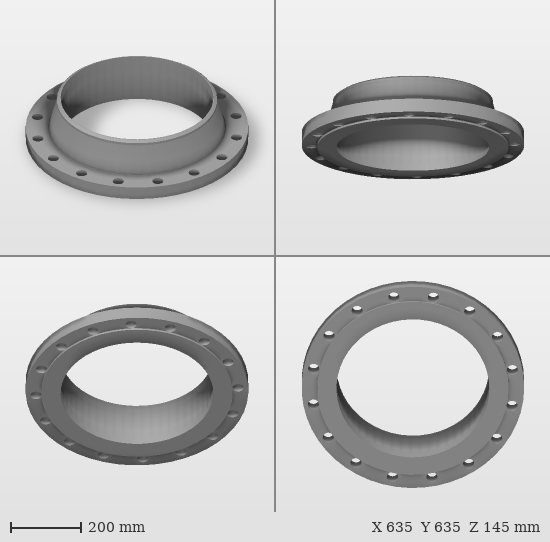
import cadquery as cq
import math

flange_diameter = 635.0
flange_thickness = 39.0
raised_face_diameter = 546.0
raised_face_height = 6.5

overall_height = 145.0
bore_diameter = 435.5
neck_diameter = 457.0
hub_base_diameter = 506.5
neck_length = 14.0
hub_flare_sagitta = 1.0
hub_root_fillet = 2.0

bevel_height = 6.5
root_face_width = 2.0

bolt_count = 16
bolt_circle_diameter = 578.0
bolt_hole_diameter = 32.0

flange_bottom = raised_face_height
flange_top = flange_bottom + flange_thickness
neck_bottom = overall_height - neck_length
bevel_bottom = overall_height - bevel_height

bore_radius = bore_diameter / 2
neck_radius = neck_diameter / 2
hub_base_radius = hub_base_diameter / 2
flange_radius = flange_diameter / 2
raised_face_radius = raised_face_diameter / 2
bevel_top_radius = bore_radius + root_face_width


def flare_middle():
    """Middle point of the hub flare, pulled inward from the straight chord."""
    run = hub_base_radius - neck_radius
    rise = neck_bottom - flange_top
    chord = math.hypot(run, rise)
    middle_radius = (hub_base_radius + neck_radius) / 2 - hub_flare_sagitta * rise / chord
    middle_height = (flange_top + neck_bottom) / 2 - hub_flare_sagitta * run / chord
    return middle_radius, middle_height


def flange_body():
    """Flange, hub, neck and raised face revolved about Z."""
    section = (
        cq.Workplane("XZ")
        .moveTo(bore_radius, 0)
        .lineTo(raised_face_radius, 0)
        .lineTo(raised_face_radius, flange_bottom)
        .lineTo(flange_radius, flange_bottom)
        .lineTo(flange_radius, flange_top)
        .lineTo(hub_base_radius, flange_top)
        .threePointArc(flare_middle(), (neck_radius, neck_bottom))
        .lineTo(neck_radius, bevel_bottom)
        .lineTo(bevel_top_radius, overall_height)
        .lineTo(bore_radius, overall_height)
        .close()
    )
    return section.revolve(360, (0, 0, 0), (0, 1, 0))


def round_hub_root(body):
    """Small fillet where the hub flare meets the flange top."""
    reach = hub_base_radius + hub_root_fillet
    slack = hub_root_fillet / 2
    root_edge = cq.selectors.BoxSelector(
        (-reach, -reach, flange_top - slack),
        (reach, reach, flange_top + slack),
        boundingbox=True,
    )
    return body.edges(root_edge).fillet(hub_root_fillet)


def bolt_holes():
    """Through holes evenly spaced on the bolt circle."""
    return (
        cq.Workplane("XY")
        .polarArray(bolt_circle_diameter / 2, 0, 360, bolt_count)
        .circle(bolt_hole_diameter / 2)
        .extrude(flange_top)
    )


result = round_hub_root(flange_body()).cut(bolt_holes())